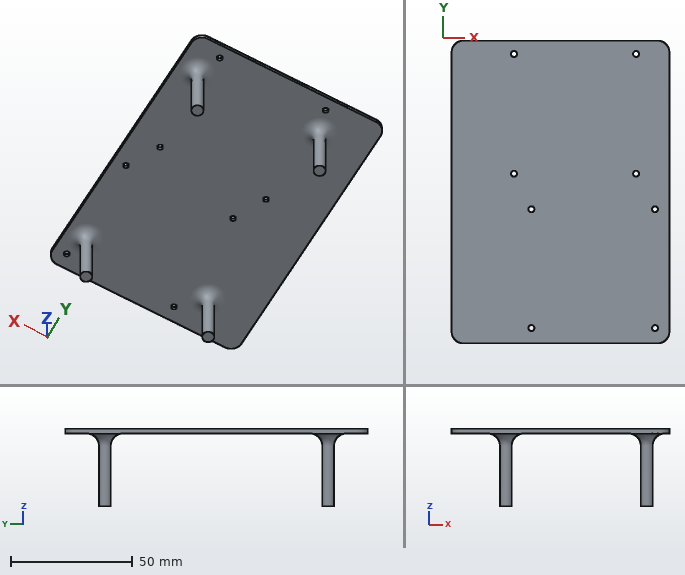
import cadquery as cq

plate_width = 90.0
plate_length = 125.0
plate_thickness = 2.0
corner_radius = 5.0

total_height = 32.0
leg_length = total_height - plate_thickness
leg_diameter = 5.0
leg_fillet = 5.0
leg_center_x = 6.5
leg_spacing_x = 58.1
leg_spacing_y = 92.1

hole_diameter = 2.4
rear_holes_center = (6.0, 32.2)
rear_holes_spacing = (50.4, 49.4)
front_holes_center = (13.5, -31.6)
front_holes_spacing = (51.0, 49.0)


def rectangle_corners(center, spacing):
    """Corner points of a rectangle with the given centre and side lengths."""
    return [
        (center[0] + side_x * spacing[0] / 2, center[1] + side_y * spacing[1] / 2)
        for side_x in (-1, 1)
        for side_y in (-1, 1)
    ]


def make_plate():
    """Flat plate with rounded vertical corners."""
    plate = cq.Workplane("XY").box(
        plate_width, plate_length, plate_thickness, centered=(True, True, False)
    )
    return plate.edges("|Z").fillet(corner_radius)


def make_leg():
    """Round leg hanging from Z = 0, flared by a concave fillet at its top."""
    leg_radius = leg_diameter / 2
    flare_radius = leg_radius + leg_fillet
    profile = (
        cq.Workplane("XZ")
        .moveTo(0, 0)
        .lineTo(flare_radius, 0)
        .radiusArc((leg_radius, -leg_fillet), -leg_fillet)
        .lineTo(leg_radius, -leg_length)
        .lineTo(0, -leg_length)
        .close()
    )
    return profile.revolve(360, (0, 0, 0), (0, 1, 0))


result = make_plate()

leg = make_leg()
for x, y in rectangle_corners((leg_center_x, 0), (leg_spacing_x, leg_spacing_y)):
    result = result.union(leg.translate((x, y, 0)))

hole_points = rectangle_corners(rear_holes_center, rear_holes_spacing)
hole_points += rectangle_corners(front_holes_center, front_holes_spacing)
holes = cq.Workplane("XY").pushPoints(hole_points).circle(hole_diameter / 2).extrude(plate_thickness)
result = result.cut(holes)